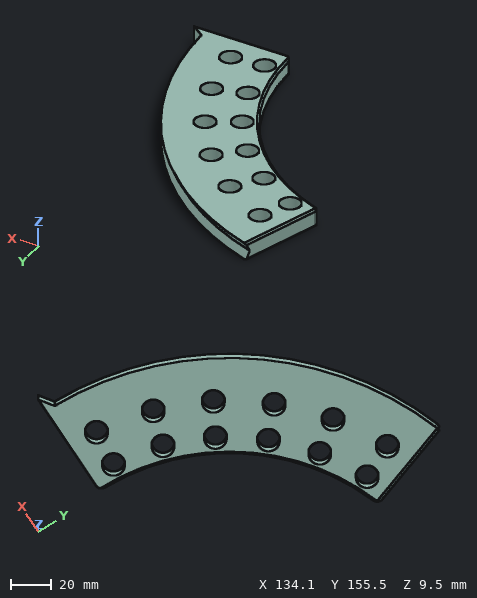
import cadquery as cq
import math

thickness = 9.5
sector_angle = 72
inner_radius = 115.8
outer_radius = 163.8
corner_radius = 3.4

hole_diameter = 11.2
hole_arc_radii = (124.0, 142.2)
hole_count = 6

inner_bevel = 1.1
end_bevel_width = 1.5
end_bevel_height = 0.6

groove_depth = 2.3

spur_tip_x = 170.8
spur_width = 5.0

half_thickness = thickness / 2
spur_root = (math.sqrt(outer_radius**2 - spur_width**2), spur_width)


def polar(radius, degrees):
    angle = math.radians(degrees)
    return (radius * math.cos(angle), radius * math.sin(angle))


def make_ring_sector():
    """Sector with a bevelled bore and a V-grooved rim, swept from one radial section."""
    bore_top = half_thickness - inner_bevel
    section = [
        (inner_radius, -bore_top),
        (inner_radius + inner_bevel, -half_thickness),
        (outer_radius, -half_thickness),
        (outer_radius - groove_depth, 0),
        (outer_radius, half_thickness),
        (inner_radius + inner_bevel, half_thickness),
        (inner_radius, bore_top),
    ]
    return cq.Workplane("XZ").polyline(section).close().revolve(sector_angle, (0, 0, 0), (0, 1, 0))


def make_end_bevels():
    """Two wedges that bevel the long edges of the far radial end."""
    bevel = cq.Workplane("YZ")
    for side in (-1, 1):
        bevel = bevel.polyline([
            (0, side * (half_thickness - end_bevel_height)),
            (0, side * half_thickness),
            (-end_bevel_width, side * half_thickness),
        ]).close()
    return bevel.extrude(spur_tip_x).rotate((0, 0, 0), (0, 0, 1), sector_angle)


def make_spur():
    """Full-thickness triangle that fills the groove at the +X end and runs out to a point."""
    return (
        cq.Workplane("XY").workplane(offset=-half_thickness)
        .moveTo(outer_radius - groove_depth, 0)
        .lineTo(spur_tip_x, 0)
        .lineTo(*spur_root)
        .lineTo(spur_root[0] - groove_depth, spur_root[1])
        .close().extrude(thickness)
    )


def make_rounded_envelope():
    """Prism larger than the sector at the rim, with the two bore corners rounded."""
    middle = sector_angle / 2
    bore_corners = cq.selectors.BoxSelector((0, -1.5, -1.5), (inner_radius + 1.5, inner_radius + 1.5, 1.5))
    return (
        cq.Workplane("XY").workplane(offset=-half_thickness)
        .moveTo(inner_radius, 0)
        .lineTo(spur_tip_x, 0)
        .threePointArc(polar(spur_tip_x, middle), polar(spur_tip_x, sector_angle))
        .lineTo(*polar(inner_radius, sector_angle))
        .threePointArc(polar(inner_radius, middle), (inner_radius, 0))
        .close().extrude(thickness)
        .edges("|Z").edges(bore_corners).fillet(corner_radius)
    )


def make_holes():
    """Cylinders for every through hole on both arcs."""
    step = sector_angle / hole_count
    centres = []
    for radius in hole_arc_radii:
        for index in range(hole_count):
            centres.append(polar(radius, (index + 0.5) * step))
    return (
        cq.Workplane("XY").workplane(offset=-half_thickness)
        .pushPoints(centres).circle(hole_diameter / 2).extrude(thickness)
    )


plate = make_ring_sector().union(make_spur())
plate = plate.cut(make_end_bevels())
plate = plate.intersect(make_rounded_envelope())
result = plate.cut(make_holes())